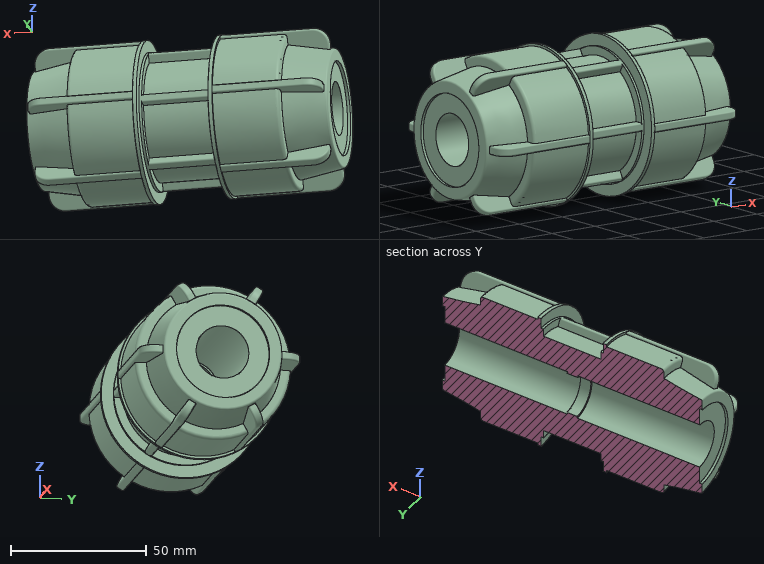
import cadquery as cq

LENGTH = 114.0
HALF_LENGTH = LENGTH / 2

FLANGE_RADIUS = 61.0 / 2
FLANGE_THICKNESS = 1.5
NUT_LENGTH = 43.4
BODY_RADIUS = 29.5
BODY_START = 16.8
BODY_EDGE_FILLET = 1.4
LIP_RADIUS = 22.5
LIP_ROUND = 0.9
CONE_LARGE_RADIUS = 25.4

COLLAR_RADIUS = 51.9 / 2
COLLAR_THICKNESS = 1.0
SLEEVE_RADIUS = 22.6
SLEEVE_HALF_LENGTH = HALF_LENGTH - NUT_LENGTH

RIB_COUNT = 6
RIB_WIDTH = 3.2
RIB_EDGE_FILLET = 0.7
RIB_ROOT_RADIUS = 19.4
NUT_RIB_START = 1.3
NUT_RIB_CORNER = 5.9

RECESS_RADIUS = 35.2 / 2
RECESS_DEPTH = 1.1
SOCKET_RADIUS = 20.0 / 2
STOP_RADIUS = 18.4 / 2
STOP_HALF_LENGTH = 2.3


def nut_body():
    """Revolved nut at the -X end: lip, cone, cylindrical body and flange."""
    end = -HALF_LENGTH
    body_face = end + BODY_START
    flange_face = end + NUT_LENGTH - FLANGE_THICKNESS
    return (
        cq.Workplane("XY")
        .moveTo(end, 0)
        .lineTo(end, LIP_RADIUS - LIP_ROUND)
        .radiusArc((end + LIP_ROUND, LIP_RADIUS), LIP_ROUND)
        .lineTo(body_face, CONE_LARGE_RADIUS)
        .lineTo(body_face, BODY_RADIUS - BODY_EDGE_FILLET)
        .radiusArc((body_face + BODY_EDGE_FILLET, BODY_RADIUS), BODY_EDGE_FILLET)
        .lineTo(flange_face, BODY_RADIUS)
        .lineTo(flange_face, FLANGE_RADIUS)
        .lineTo(end + NUT_LENGTH, FLANGE_RADIUS)
        .lineTo(end + NUT_LENGTH, 0)
        .close()
        .revolve(360, (0, 0, 0), (1, 0, 0))
    )


def ring_of(rib):
    """Copies of a rib spaced evenly around the X axis."""
    ribs = rib
    for index in range(1, RIB_COUNT):
        ribs = ribs.union(rib.rotate((0, 0, 0), (1, 0, 0), index * 360 / RIB_COUNT))
    return ribs


def nut_ribs():
    """Grip ribs flush with the flange, rounded off at the end of the nut."""
    start = -HALF_LENGTH + NUT_RIB_START
    length = NUT_LENGTH - FLANGE_THICKNESS - NUT_RIB_START
    height = FLANGE_RADIUS - RIB_ROOT_RADIUS
    rib = (
        cq.Workplane("XY", origin=(start, RIB_ROOT_RADIUS, -RIB_WIDTH / 2))
        .rect(length, height, centered=False)
        .extrude(RIB_WIDTH)
        .edges("|Z and <X and >Y")
        .fillet(NUT_RIB_CORNER)
        .faces(">Y")
        .edges("|X")
        .fillet(RIB_EDGE_FILLET)
    )
    return ring_of(rib)


def sleeve():
    """Central tube with a collar against each nut and ribs between the nuts."""
    axis_plane = cq.Workplane("YZ", origin=(-SLEEVE_HALF_LENGTH, 0, 0))
    sleeve_length = 2 * SLEEVE_HALF_LENGTH
    tube = axis_plane.circle(SLEEVE_RADIUS).extrude(sleeve_length)
    collar = axis_plane.circle(COLLAR_RADIUS).extrude(COLLAR_THICKNESS)
    rib = (
        cq.Workplane("XY", origin=(0, (COLLAR_RADIUS + RIB_ROOT_RADIUS) / 2, 0))
        .box(sleeve_length, COLLAR_RADIUS - RIB_ROOT_RADIUS, RIB_WIDTH)
        .faces(">Y")
        .edges("|X")
        .fillet(RIB_EDGE_FILLET)
    )
    return tube.union(collar).union(collar.mirror("YZ")).union(ring_of(rib))


def bore():
    """Through bore: end recesses, pipe sockets and a narrower stop at the middle."""
    end_plane = cq.Workplane("YZ", origin=(-HALF_LENGTH, 0, 0))
    recess = end_plane.circle(RECESS_RADIUS).extrude(RECESS_DEPTH)
    socket = end_plane.circle(SOCKET_RADIUS).extrude(HALF_LENGTH - STOP_HALF_LENGTH)
    stop = end_plane.circle(STOP_RADIUS).extrude(LENGTH)
    end_cut = recess.union(socket)
    return stop.union(end_cut).union(end_cut.mirror("YZ"))


nut = nut_body().union(nut_ribs())
result = sleeve().union(nut).union(nut.mirror("YZ")).cut(bore())